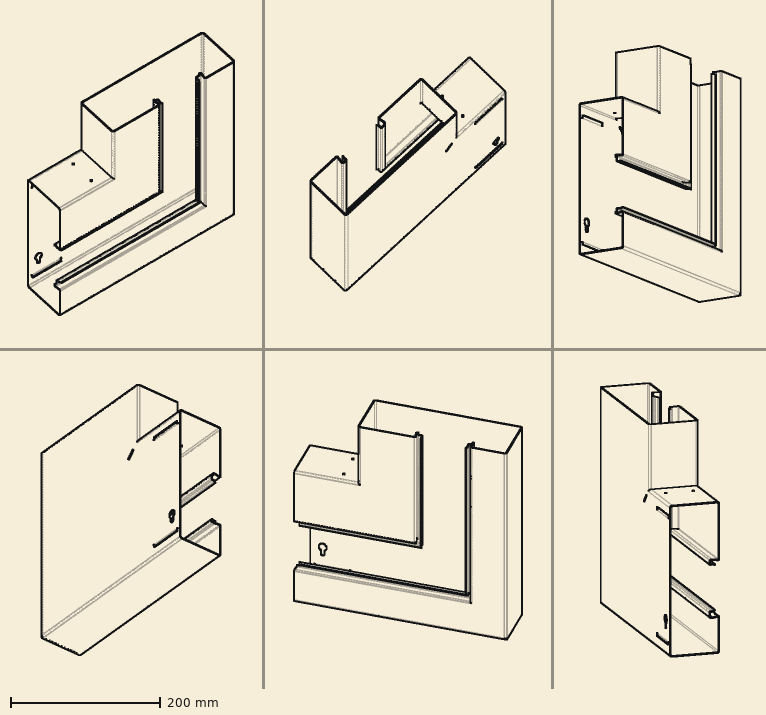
import cadquery as cq
import math


length = 299.8
width = 210.0
depth = 70.0
sheet = 1.5
wall_bend = 1.8

opening_centre = 90.0
opening_half = 38.0
lip_slant = 1.8
lip_depth = 13.2
hook_width = 9.5
leg_lean = 0.3
leg_height = 5.5
flare_height = 2.7
flare_run = 1.5
lip_bend = 0.5
flare_bend = 1.5
trim_at_floor = 3.3
trim_at_face = 7.0

keyhole_from_end = 17.7
keyhole_height = 48.5
keyhole_head_radius = 5.7
keyhole_slot_width = 5.0
keyhole_bottom = 35.5
screw_hole_diameter = 2.7
screw_hole_from_end = 65.5
screw_hole_depths = (15.5, 54.5)
mitre_slit_length = 14.5
mitre_slit_width = 1.8
mitre_slit_centre = 193.7

tab_length = 49.2
tab_relief = 1.2
relief_height = 0.5
tab_from_end = 31.2
tab_height = 4.2
tab_inset = 15.3
tab_reach = 1.2


def unit(start, end):
    """Unit direction from start to end."""
    span = math.dist(start, end)
    return (end[0] - start[0]) / span, (end[1] - start[1]) / span


def offset_path(points, distance):
    """Sharp-cornered copy of an open path, moved to its left by distance."""
    shifted = []
    last = len(points) - 1
    for i, (px, py) in enumerate(points):
        before = unit(points[max(i - 1, 0)], points[max(i, 1)])
        after = unit(points[min(i, last - 1)], points[min(i + 1, last)])
        stretch = distance / (1 + before[0] * after[0] + before[1] * after[1])
        shifted.append((px - (before[1] + after[1]) * stretch, py + (before[0] + after[0]) * stretch))
    return shifted


def rounded_outline(plane, points, radii):
    """Closed outline through points, with an arc at every corner whose radius is not zero."""
    outline = None
    for i, corner in enumerate(points):
        to_previous = unit(corner, points[i - 1])
        to_next = unit(corner, points[(i + 1) % len(points)])
        half_angle = math.acos(to_previous[0] * to_next[0] + to_previous[1] * to_next[1]) / 2
        setback = radii[i] / math.tan(half_angle)
        start = tuple(c + setback * d for c, d in zip(corner, to_previous))
        end = tuple(c + setback * d for c, d in zip(corner, to_next))
        outline = outline.lineTo(*start) if outline else cq.Workplane(plane).moveTo(*start)
        if radii[i]:
            bisector = unit((0, 0), (to_previous[0] + to_next[0], to_previous[1] + to_next[1]))
            reach = radii[i] / math.sin(half_angle) - radii[i]
            middle = tuple(c + reach * d for c, d in zip(corner, bisector))
            outline = outline.threePointArc(middle, end)
    return outline.close()


def lip_path():
    """Middle line of the outer lip as (depth, across) points, from flange tip to free edge."""
    flange_x = depth - sheet / 2
    floor_x = depth - lip_depth + sheet / 2
    flange_end = opening_centre - opening_half - sheet / 2
    floor_start = flange_end - lip_slant
    floor_end = floor_start + hook_width - sheet
    leg_top = floor_x + leg_height
    return [
        (flange_x, flange_end),
        (floor_x, floor_start),
        (floor_x, floor_end),
        (leg_top, floor_end - leg_lean),
        (leg_top + flare_height, floor_end - leg_lean + flare_run),
    ]


def channel_profile():
    """Cross-section of one arm: lip, outer wall, back plate, inner wall and lip."""
    lip = lip_path()
    near, far_x, far_w = sheet / 2, depth - sheet / 2, width - sheet / 2
    mirrored_lip = [(x, 2 * opening_centre - w) for x, w in lip]
    corners = [(far_x, near), (near, near), (near, far_w), (far_x, far_w)]
    path = lip[::-1] + corners + mirrored_lip
    lip_bends = [lip_bend] * (len(lip) - 2) + [flare_bend]
    bends = [0] + lip_bends[::-1] + [wall_bend] * len(corners) + lip_bends + [0]

    left_radii, right_radii = list(bends), list(bends)
    for i in range(1, len(path) - 1):
        a = unit(path[i - 1], path[i])
        b = unit(path[i], path[i + 1])
        turns_left = a[0] * b[1] - a[1] * b[0] > 0
        outside = right_radii if turns_left else left_radii
        outside[i] += sheet
    left = offset_path(path, sheet / 2)
    right = offset_path(path, -sheet / 2)
    return rounded_outline("XZ", left + right[::-1], left_radii + right_radii[::-1])


def hook_trim():
    """Wedge that shortens both hooks at the open end, more towards the front face."""
    floor_x = depth - lip_depth
    return (
        cq.Workplane("XY", origin=(0, 0, opening_centre - opening_half))
        .polyline([(floor_x, 0), (depth, 0), (depth, trim_at_face), (floor_x, trim_at_floor)])
        .close()
        .extrude(2 * opening_half)
    )


def channel_corner():
    """Both arms, cut at 45 degrees and joined along the mitre."""
    arm = channel_profile().extrude(-length)
    beyond_mitre = (
        cq.Workplane("YZ").polyline([(length, 0), (length, length), (0, length)]).close().extrude(depth)
    )
    arm = arm.cut(beyond_mitre).cut(hook_trim())
    return arm.union(arm.mirror(cq.Vector(0, 1, 1), (0, length, 0)))


def keyhole():
    head = cq.Workplane("YZ").center(keyhole_from_end, keyhole_height).circle(keyhole_head_radius)
    slot_length = keyhole_height - keyhole_bottom
    slot = (
        cq.Workplane("YZ")
        .center(keyhole_from_end, keyhole_bottom + slot_length / 2)
        .slot2D(slot_length, keyhole_slot_width, 90)
    )
    return head.extrude(sheet).union(slot.extrude(sheet))


def screw_holes():
    """Two small holes through the inner wall of the level arm."""
    return (
        cq.Workplane("XY", origin=(0, 0, width - sheet))
        .pushPoints([(x, screw_hole_from_end) for x in screw_hole_depths])
        .circle(screw_hole_diameter / 2)
        .extrude(sheet)
    )


def mitre_slit():
    """Narrow slit through the back plate along the mitre."""
    return (
        cq.Workplane("YZ")
        .center(length - mitre_slit_centre, mitre_slit_centre)
        .transformed(rotate=(0, 0, -45))
        .rect(mitre_slit_length, mitre_slit_width)
        .extrude(sheet)
    )


def tab_window(free_edge, hinge):
    """Opening left in the back plate by a bent tab, with relief slits beside the bend line."""
    relief_centre = hinge + math.copysign(relief_height / 2, free_edge - hinge)
    relief = (
        cq.Workplane("YZ")
        .center(tab_from_end, relief_centre)
        .rect(tab_length + 2 * tab_relief, relief_height)
        .extrude(sheet)
    )
    window = (
        cq.Workplane("YZ")
        .center(tab_from_end, (free_edge + hinge) / 2)
        .rect(tab_length, tab_height)
        .extrude(sheet)
    )
    return window.union(relief)


def bent_tab(free_edge, hinge):
    """Sloping strip from the hinge line to the free edge inside the channel."""
    return (
        cq.Workplane("XZ", origin=(0, tab_from_end - tab_length / 2, 0))
        .polyline([(0, hinge), (sheet, hinge), (tab_reach + sheet, free_edge), (tab_reach, free_edge)])
        .close()
        .extrude(-tab_length)
    )


result = channel_corner().cut(keyhole()).cut(screw_holes()).cut(mitre_slit())

lower_tab = (tab_inset, tab_inset + tab_height)
upper_tab = tuple(width - z for z in lower_tab)
for free_edge, hinge in (lower_tab, upper_tab):
    result = result.cut(tab_window(free_edge, hinge))
    result = result.union(bent_tab(free_edge, hinge))